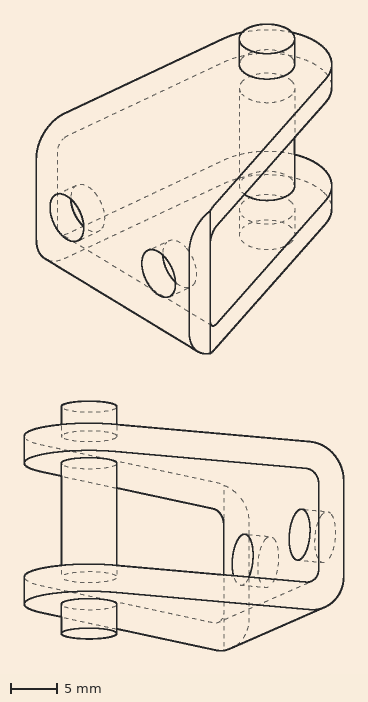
import cadquery as cq
import math

width = 25.0
length = 34.0
bracket_height = 18.5
thickness = 3.0
bend_radius = 4.0
inner_bend_radius = thickness / 2

end_radius = 7.0
pin_x = end_radius
pin_y = length - end_radius
pin_diameter = 6.0
pin_length = width

hole_diameter = 5.5
hole_spacing = 15.0
hole_count = 2
first_hole_x = 5.0

shoulder_y = thickness


def tangent_point(corner_x, corner_y):
    """Point where a line from the corner touches the rounded end on its right side."""
    dx = corner_x - pin_x
    dy = corner_y - pin_y
    angle = math.atan2(dy, dx) + math.acos(end_radius / math.hypot(dx, dy))
    return pin_x + end_radius * math.cos(angle), pin_y + end_radius * math.sin(angle)


def make_strap():
    """U-shaped strap, open toward +Y, with its two bends along X."""
    outer = (
        cq.Workplane("XY")
        .box(width, length, bracket_height, centered=(False, False, True))
        .edges("|X and <Y")
        .fillet(bend_radius)
    )
    gap = (
        cq.Workplane("XY")
        .box(width, length, bracket_height - 2 * thickness, centered=(False, False, True))
        .edges("|X and <Y")
        .fillet(inner_bend_radius)
        .translate((0, thickness, 0))
    )
    return outer.cut(gap)


def make_arm_outline():
    """Plan outline of the bracket, extruded over its full height."""
    return (
        cq.Workplane("XY")
        .workplane(offset=-bracket_height / 2)
        .lineTo(width, 0)
        .lineTo(width, shoulder_y)
        .lineTo(*tangent_point(width, shoulder_y))
        .threePointArc((pin_x, length), (0, pin_y))
        .close()
        .extrude(bracket_height)
    )


def make_mounting_holes():
    """Cutters running along Y through the web only."""
    centers = [(first_hole_x + i * hole_spacing, 0) for i in range(hole_count)]
    return cq.Workplane("XZ").pushPoints(centers).circle(hole_diameter / 2).extrude(-thickness)


def make_pin():
    """Cross pin, standing out equally beyond both arms."""
    return (
        cq.Workplane("XY")
        .center(pin_x, pin_y)
        .circle(pin_diameter / 2)
        .extrude(pin_length / 2, both=True)
    )


bracket = make_strap().intersect(make_arm_outline()).cut(make_mounting_holes())
result = bracket.union(make_pin())